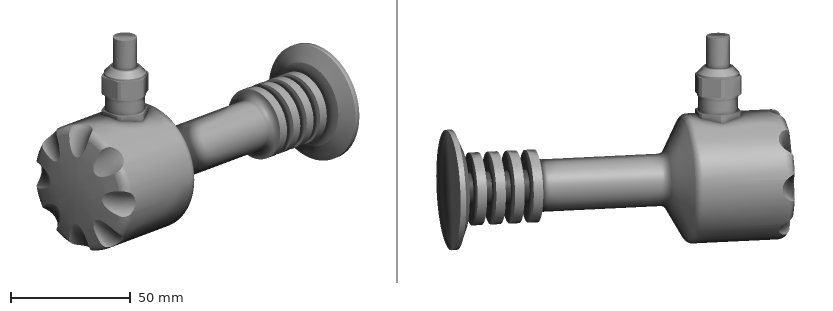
import cadquery as cq
import math

length = 145.4

flange_radius = 50.5 / 2
flange_rim = 2.3
flange_thickness = 5.4
flange_back_radius = 18.2

core_radius = 14.0 / 2
fin_radius = 30.5 / 2
fin_start = 9.3
fin_thickness = 4.0
fin_pitch = 8.0
fin_count = 4

tube_radius = 22.0 / 2
head_radius = 54.5 / 2
shoulder_start = 91.7
shoulder_half_angle = 60.0
blend_radius = 3.0
cap_sag = 3.0
cap_edge_radius = 3.9

scallop_count = 8
scallop_radius = 6.5
scallop_tilt = 31.0
scallop_start = 137.1

gland_position = 115.2
cable_radius = 10.0 / 2
cable_top = 88.1 - head_radius
hex_flats = 18.0
hex_corner_radius = 19.9 / 2
base_hex_top = 28.8
gland_body_radius = 16.7 / 2
collar_radius = 17.7 / 2
collar_height = 0.9
collar_bottom = 35.3
nut_height = 8.0
gland_cone_height = 2.6
gland_cone_top_radius = 12.8 / 2

fins_end = fin_start + (fin_count - 1) * fin_pitch + fin_thickness
shoulder_end = shoulder_start + (head_radius - tube_radius) / math.tan(math.radians(shoulder_half_angle))
cap_edge = length - cap_sag


def axial_disc(radius, start, end):
    """Cylinder on the main axis between two distances from the flange face."""
    return cq.Workplane("XZ", origin=(0, -start, 0)).circle(radius).extrude(end - start)


def make_flange():
    return (
        cq.Workplane("XY")
        .lineTo(flange_radius, 0)
        .lineTo(flange_radius, -flange_rim)
        .lineTo(flange_back_radius, -flange_thickness)
        .lineTo(0, -flange_thickness)
        .close()
        .revolve(360, (0, 0, 0), (0, 1, 0))
    )


def make_fins():
    fins = axial_disc(core_radius, flange_thickness, fins_end)
    for index in range(fin_count):
        start = fin_start + index * fin_pitch
        fins = fins.union(axial_disc(fin_radius, start, start + fin_thickness))
    return fins


def blend_circle(body, distance, radius):
    """Round the circular edge centred on the axis at the given distance."""
    return body.edges(cq.NearestToPointSelector((0, -distance, 0))).fillet(radius)


def make_tube_and_head():
    dome_radius = (head_radius**2 + cap_sag**2) / (2 * cap_sag)
    mid_radius = head_radius / 2
    mid_sag = dome_radius - math.sqrt(dome_radius**2 - mid_radius**2)
    body = (
        cq.Workplane("XY")
        .moveTo(0, -fins_end)
        .lineTo(tube_radius, -fins_end)
        .lineTo(tube_radius, -shoulder_start)
        .lineTo(head_radius, -shoulder_end)
        .lineTo(head_radius, -cap_edge)
        .threePointArc((mid_radius, mid_sag - length), (0, -length))
        .close()
        .revolve(360, (0, 0, 0), (0, 1, 0))
    )
    body = blend_circle(body, shoulder_start, blend_radius)
    body = blend_circle(body, shoulder_end, blend_radius)
    return blend_circle(body, cap_edge, cap_edge_radius)


def cut_scallops(head):
    """Cut tilted round grooves whose floors rise from the head's side to its cap."""
    tilt = math.radians(scallop_tilt)
    inward = cq.Vector(0, -math.sin(tilt), -math.cos(tilt))
    away_from_floor = cq.Vector(0, -math.cos(tilt), math.sin(tilt))
    rim_point = cq.Vector(0, -scallop_start, head_radius)
    reach = head_radius
    start = rim_point + away_from_floor * scallop_radius - inward * reach
    cutter = cq.Workplane(cq.Solid.makeCylinder(scallop_radius, 2 * reach, start, inward))
    for index in range(scallop_count):
        head = head.cut(cutter.rotate((0, 0, 0), (0, 1, 0), index * 360 / scallop_count))
    return head


def gland_plane(height):
    return cq.Workplane("XY", origin=(0, -gland_position, height))


def gland_disc(radius, bottom, top):
    return gland_plane(bottom).circle(radius).extrude(top - bottom)


def gland_hex(bottom, top):
    """Hexagon with flats facing Y and corners turned down to a round."""
    full_corner_diameter = hex_flats / math.cos(math.pi / 6)
    prism = gland_plane(bottom).polygon(6, full_corner_diameter).extrude(top - bottom)
    return prism.intersect(gland_disc(hex_corner_radius, bottom, top))


def make_gland():
    root = head_radius / 2
    nut_bottom = collar_bottom + collar_height
    nut_top = nut_bottom + nut_height
    collar_top = nut_top + collar_height
    cone_top = collar_top + gland_cone_height
    cone = (
        gland_plane(collar_top)
        .circle(collar_radius)
        .workplane(offset=gland_cone_height)
        .circle(gland_cone_top_radius)
        .loft(ruled=True)
    )
    return (
        gland_hex(root, base_hex_top)
        .union(gland_disc(gland_body_radius, base_hex_top, collar_bottom))
        .union(gland_disc(collar_radius, collar_bottom, collar_top))
        .union(gland_hex(nut_bottom, nut_top))
        .union(cone)
        .union(gland_disc(cable_radius, cone_top, cable_top))
    )


fin_blend_ring = (
    cq.Workplane("XY")
    .moveTo(tube_radius, -fins_end)
    .lineTo(tube_radius + blend_radius, -fins_end)
    .radiusArc((tube_radius, -fins_end - blend_radius), -blend_radius)
    .close()
    .revolve(360, (0, 0, 0), (0, 1, 0))
)

head = cut_scallops(make_tube_and_head())
result = make_flange().union(make_fins()).union(head).union(fin_blend_ring).union(make_gland())